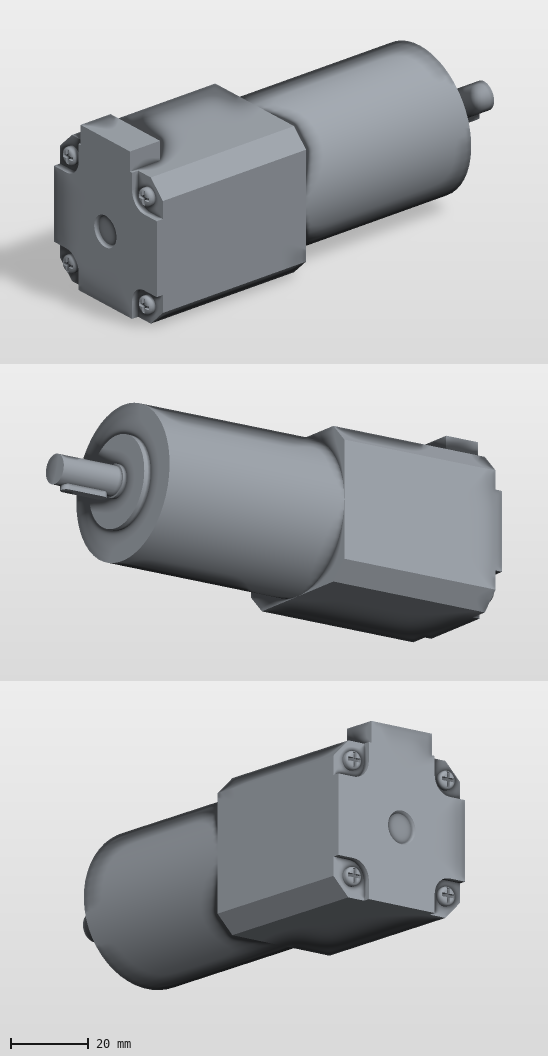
import cadquery as cq


body_width = 42.0
body_length = 49.6
body_chamfer = 4.9

screw_spacing = 31.0
pocket_depth = 2.0
pocket_size = 10.1
pocket_radius = 5.0
head_radius = 2.5
head_height = pocket_depth
head_fillet = 1.0
cross_length = 4.2
cross_width = 1.0
cross_depth = 1.0

recess_radius = 4.5
recess_floor_radius = 3.9
recess_depth = 1.0

connector_width = 20.2
connector_length = 10.0
connector_height = 5.8

gearbox_length = 54.9
gearbox_radius = body_width / 2
flange_radius = 12.5
flange_length = 2.0
collar_radius = 4.5
collar_length = 1.1
shaft_radius = 4.0
total_length = 126.0

key_length = 14.0
key_width = 3.0
key_end_gap = 2.0
key_bottom = 5.3

gearbox_end = body_length + gearbox_length
flange_end = gearbox_end + flange_length
collar_end = flange_end + collar_length
corners = [(-1, -1), (-1, 1), (1, -1), (1, 1)]


def rear_plane(y):
    """Sketch plane at the given Y, facing the rear (-Y), with local axes X and Z."""
    return cq.Workplane("XZ", origin=(0, y, 0))


def make_body():
    body = rear_plane(body_length).rect(body_width, body_width).extrude(body_length)
    return body.edges("|Y").chamfer(body_chamfer)


def make_connector():
    bottom = body_width / 2
    return cq.Workplane("XY", origin=(0, connector_length / 2, bottom)).box(
        connector_width, connector_length, connector_height, centered=(True, True, False)
    )


def make_corner_pocket(side_x, side_z):
    """Square cutter in one corner of the body, rounded on the edge nearest the motor axis."""
    center = body_width / 2 - pocket_size / 2
    inner = body_width / 2 - pocket_size
    pocket = (
        rear_plane(pocket_depth)
        .center(side_x * center, side_z * center)
        .rect(pocket_size, pocket_size)
        .extrude(pocket_depth)
    )
    inner_edge = cq.selectors.NearestToPointSelector((side_x * inner, pocket_depth / 2, side_z * inner))
    return pocket.edges(inner_edge).fillet(pocket_radius)


def make_screw_head(side_x, side_z):
    """Round-edged head with a cross slot, standing on the pocket floor."""
    x = side_x * screw_spacing / 2
    z = side_z * screw_spacing / 2
    head = rear_plane(pocket_depth).center(x, z).circle(head_radius).extrude(head_height)
    head = head.faces("<Y").edges().fillet(head_fillet)
    slot_floor = pocket_depth - head_height + cross_depth
    for width, height in ((cross_length, cross_width), (cross_width, cross_length)):
        slot = rear_plane(slot_floor).center(x, z).rect(width, height).extrude(cross_depth)
        head = head.cut(slot)
    return head


def make_recess():
    return (
        rear_plane(0)
        .circle(recess_radius)
        .workplane(offset=-recess_depth)
        .circle(recess_floor_radius)
        .loft(ruled=True)
    )


def make_gearbox_and_shaft():
    """Half profile in the YZ plane turned about the Y axis."""
    return (
        cq.Workplane("YZ")
        .moveTo(body_length, 0)
        .lineTo(body_length, gearbox_radius)
        .lineTo(gearbox_end, gearbox_radius)
        .lineTo(gearbox_end, flange_radius)
        .lineTo(flange_end, flange_radius)
        .lineTo(flange_end, collar_radius)
        .lineTo(collar_end, collar_radius)
        .lineTo(collar_end, shaft_radius)
        .lineTo(total_length, shaft_radius)
        .lineTo(total_length, 0)
        .close()
        .revolve(360, (0, 0, 0), (1, 0, 0))
    )


def make_key():
    middle = total_length - key_end_gap - key_length / 2
    return (
        cq.Workplane("XY", origin=(0, middle, -key_bottom))
        .slot2D(key_length, key_width, angle=90)
        .extrude(key_bottom)
    )


result = make_body().union(make_connector()).union(make_gearbox_and_shaft()).union(make_key())
result = result.cut(make_recess())
for corner_x, corner_z in corners:
    result = result.cut(make_corner_pocket(corner_x, corner_z))
    result = result.union(make_screw_head(corner_x, corner_z))